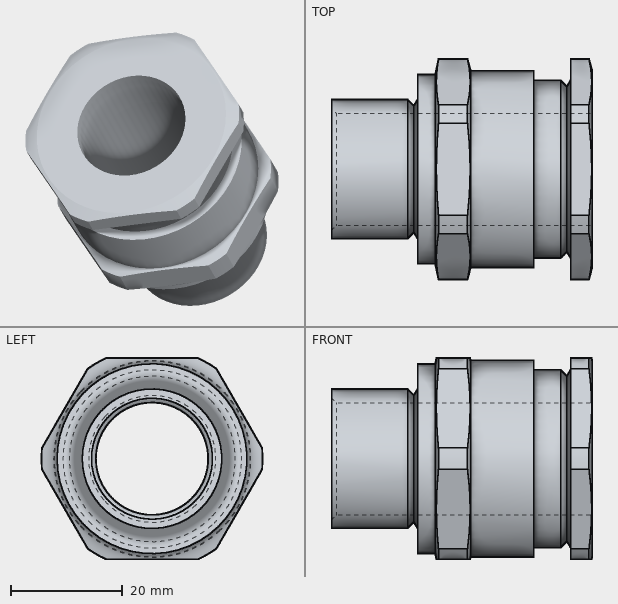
import cadquery as cq
import math


ACROSS_FLATS = 36.0
CORNER_RADIUS = 39.55 / 2
HEX_CHAMFER_LENGTH = 0.6
HEX_END_FACE_RADIUS = 17.5

BORE_RADIUS = 10.0
BORE_MOUTH_RADIUS = 10.8

GROOVE_DEPTH = 1.1
GROOVE_RISE_LENGTH = 0.7

ENTRY_THREAD_RADIUS = 24.95 / 2
FLANGE_RADIUS = 16.95
BARREL_RADIUS = 17.6
FLANGE_START = 15.4
HOUSING_HEX_START = 18.5
HOUSING_HEX_END = 24.9
HOUSING_END = 36.15

NUT_THREAD_RADIUS = 15.95
NUT_HEX_START = 42.75
NUT_END = 46.6


def cylinder(start, end, radius):
    return cq.Workplane("YZ", origin=(start, 0, 0)).circle(radius).extrude(end - start)


def grooved_thread(start, end, radius):
    """Threaded spigot with a V-shaped relief groove against its shoulder at end."""
    groove_bottom = end - GROOVE_RISE_LENGTH
    groove_start = groove_bottom - GROOVE_DEPTH
    return (
        cq.Workplane("XY")
        .moveTo(start, 0)
        .lineTo(start, radius)
        .lineTo(groove_start, radius)
        .lineTo(groove_bottom, radius - GROOVE_DEPTH)
        .lineTo(end, radius)
        .lineTo(end, 0)
        .close()
        .revolve(360, (0, 0, 0), (1, 0, 0))
    )


def hexagon(start, end, chamfer_start):
    """Hexagonal collar with turned corners; the optional start chamfer runs down to the flange."""
    prism = (
        cq.Workplane("YZ", origin=(start, 0, 0))
        .polygon(6, ACROSS_FLATS / math.cos(math.pi / 6))
        .extrude(end - start)
    )
    turned = cq.Workplane("XY").moveTo(start, 0)
    if chamfer_start:
        turned = turned.lineTo(start, FLANGE_RADIUS)
        turned = turned.lineTo(start + HEX_CHAMFER_LENGTH, CORNER_RADIUS)
    else:
        turned = turned.lineTo(start, CORNER_RADIUS)
    turned = (
        turned.lineTo(end - HEX_CHAMFER_LENGTH, CORNER_RADIUS)
        .lineTo(end, HEX_END_FACE_RADIUS)
        .lineTo(end, 0)
        .close()
        .revolve(360, (0, 0, 0), (1, 0, 0))
    )
    return prism.intersect(turned)


def bore_mouth():
    """45 degree cone that opens the bore at the entry end."""
    depth = BORE_MOUTH_RADIUS - BORE_RADIUS
    return (
        cq.Workplane("XY")
        .lineTo(0, BORE_MOUTH_RADIUS)
        .lineTo(depth, BORE_RADIUS)
        .lineTo(depth, 0)
        .close()
        .revolve(360, (0, 0, 0), (1, 0, 0))
    )


def make_housing():
    outside = (
        grooved_thread(0, FLANGE_START, ENTRY_THREAD_RADIUS)
        .union(cylinder(FLANGE_START, HOUSING_HEX_START, FLANGE_RADIUS))
        .union(hexagon(HOUSING_HEX_START, HOUSING_HEX_END, chamfer_start=True))
        .union(cylinder(HOUSING_HEX_END, HOUSING_END, BARREL_RADIUS))
    )
    return outside.cut(cylinder(0, HOUSING_END, BORE_RADIUS)).cut(bore_mouth())


def make_gland_nut():
    """Nut whose threaded spigot seats on the end face of the housing."""
    outside = grooved_thread(HOUSING_END, NUT_HEX_START, NUT_THREAD_RADIUS).union(
        hexagon(NUT_HEX_START, NUT_END, chamfer_start=False)
    )
    return outside.cut(cylinder(HOUSING_END, NUT_END, BORE_RADIUS))


housing = make_housing()
gland_nut = make_gland_nut()
result = cq.Compound.makeCompound([housing.val(), gland_nut.val()])